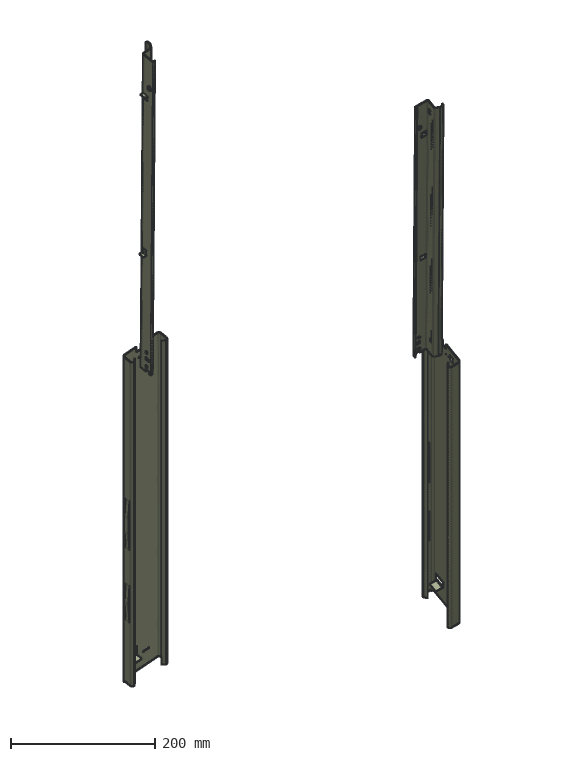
import cadquery as cq
import math

overall_width = 49.43
overall_depth = 70.8
overall_height = 1315.01
sheet = 1.5

x_min = -overall_width / 2
x_max = overall_width / 2
y_max = overall_depth / 2
y_min = -overall_depth / 2
z_min = -overall_height / 2
z_max = overall_height / 2

web_x = -18.3
lip_x = 1.6
channel_top_z = 22.0
corner_tab_height = 2.5
channel_bottom_z = z_min + corner_tab_height
channel_height = channel_top_z - channel_bottom_z
bump_height = 2.0
channel_y_min = y_min + bump_height
bend_radius = 4.0
lip_bend_depth = 5.0
lip_tip_x = -2.5
lip_tip_depth = 10.0

bump_x = -8.0
bump_width = 8.0
bumps = [(-373.0, -271.0, 34.0), (-524.0, -448.0, 4.0)]

hook_thickness = 3.0
hook_drop = 10.0
upper_hook_y = 7.0
upper_hook_width = 21.0
upper_hook_z = -3.0
lower_hook_y = 11.0
lower_hook_width = 12.0
lower_hook_z = -624.0
hook_window_y = 13.5
hook_window_width = 8.0
hook_window_height = 10.0

stop_y = -15.5
stop_width = 15.0
stop_window_width = 18.0
stop_reach = 11.0
stop_z = -619.5
stop_window_height = 15.0

end_notch_y = -4.0
end_notch_width = 8.0
end_notch_depth = 11.0

rail_bottom_z = 6.0
rail_height = z_max - rail_bottom_z
lean_angle = math.degrees(math.atan(0.0065))
race_y = 6.1
race_x = -10.3
race_lip = 4.0
race_slope_x = -3.5
rail_web_x = 4.0
slope_end_y = 1.8
flange_y = -15.1
flange_lip = 4.5
rail_bend_radius = 2.0

ridge_y = -4.5
ridge_width = 3.5
ridge_height = 0.8
ridge_bottom_z = 35.0
ridge_top_z = 617.0

round_hole_x = 17.5
round_hole_z = 596.5
round_hole_diameter = 8.0
rail_tab_x = 9.5
rail_tab_width = 9.0
rail_tab_reach = 5.0
rail_window_height = 9.0
upper_tab_z = 577.0
lower_tab_z = 247.0
screw_hole_x = 15.5
screw_hole_diameter = 4.5
screw_hole_heights = (46.0, 17.0)
cross_slot_x = 17.5
cross_slot_z = 33.0
cross_slot_width = 8.0
cross_slot_height = 4.5
flange_notch_width = 6.0
flange_notch_depth = 4.0
web_slot_y = -10.0
web_slot_width = 5.0
web_slot_height = 9.0
web_slot_z = 632.0


def block(x0, x1, y0, y1, z0, z1):
    """Box between two limits along each axis."""
    return cq.Workplane("XY").box(x1 - x0, y1 - y0, z1 - z0, centered=False).translate((x0, y0, z0))


def centred_block(x0, x1, y_mid, width, z0, z1):
    """Box centred on y_mid."""
    return block(x0, x1, y_mid - width / 2, y_mid + width / 2, z0, z1)


def offset_points(points, distance):
    """Open polyline moved sideways by a distance, with mitred corners."""
    directions = []
    for (xa, ya), (xb, yb) in zip(points, points[1:]):
        length = math.hypot(xb - xa, yb - ya)
        directions.append(((xb - xa) / length, (yb - ya) / length))
    before = [directions[0]] + directions
    after = directions + [directions[-1]]
    moved = []
    for (x, y), (ux, uy), (vx, vy) in zip(points, before, after):
        reach = distance / (1 + ux * vx + uy * vy)
        moved.append((x - (uy + vy) * reach, y + (ux + vx) * reach))
    return moved


def bent_sheet(outer_points, bends, bottom_z, height):
    """Sheet of constant thickness left of a polyline; bends gives (corner number, outer side radius)."""
    inner_points = offset_points(outer_points, sheet)
    outline = outer_points + inner_points[::-1]
    body = cq.Workplane("XY", origin=(0, 0, bottom_z)).polyline(outline).close().extrude(height)
    mid_z = bottom_z + height / 2
    for corner, outer_radius, inner_radius in bends:
        for (x, y), radius in ((outer_points[corner], outer_radius), (inner_points[corner], inner_radius)):
            edge = cq.selectors.NearestToPointSelector((x, y, mid_z))
            body = body.edges("|Z").edges(edge).fillet(radius)
    return body


def flange_bump(bottom_z, top_z, flat):
    """Strip of the -Y flange pushed outward as a bridge, with a ramp at each end."""
    ramp = (top_z - bottom_z - flat) / 2
    profile = [
        (channel_y_min + sheet, bottom_z),
        (channel_y_min, bottom_z),
        (y_min, bottom_z + ramp),
        (y_min, top_z - ramp),
        (channel_y_min, top_z),
        (channel_y_min + sheet, top_z),
        (y_min + sheet, top_z - ramp),
        (y_min + sheet, bottom_z + ramp),
    ]
    plane = cq.Workplane("YZ", origin=(bump_x - bump_width / 2, 0, 0))
    return plane.polyline(profile).close().extrude(bump_width)


def mounting_hook(y_mid, width, top_z):
    """Arm leaving the web toward -X, with a lip turned down at its end."""
    arm = centred_block(x_min, web_x, y_mid, width, top_z - hook_thickness, top_z)
    lip = centred_block(x_min, x_min + hook_thickness, y_mid, width, top_z - hook_drop, top_z)
    return arm.union(lip)


def make_cabinet_rail():
    outline = [
        (lip_tip_x, y_max - lip_tip_depth),
        (lip_x, y_max - lip_bend_depth),
        (lip_x, y_max),
        (web_x, y_max),
        (web_x, channel_y_min),
        (lip_x, channel_y_min),
        (lip_x, channel_y_min + lip_bend_depth),
        (lip_tip_x, channel_y_min + lip_tip_depth),
    ]
    bends = [(corner, bend_radius, bend_radius - sheet) for corner in (2, 3, 4, 5)]
    rail = bent_sheet(outline, bends, channel_bottom_z, channel_height)

    tab_blank = block(web_x, web_x + bend_radius, channel_y_min, channel_y_min + bend_radius, z_min,
                      channel_bottom_z)
    bend_run = bent_sheet(outline, bends, z_min, corner_tab_height)
    rail = rail.union(tab_blank.intersect(bend_run))

    for bottom_z, top_z, flat in bumps:
        strip = block(bump_x - bump_width / 2, bump_x + bump_width / 2, channel_y_min, channel_y_min + sheet,
                      bottom_z, top_z)
        rail = rail.cut(strip).union(flange_bump(bottom_z, top_z, flat))

    web_front = web_x + sheet
    rail = rail.union(mounting_hook(upper_hook_y, upper_hook_width, upper_hook_z))
    rail = rail.union(mounting_hook(lower_hook_y, lower_hook_width, lower_hook_z))
    rail = rail.cut(centred_block(web_x, web_front, hook_window_y, hook_window_width, upper_hook_z,
                                  upper_hook_z + hook_window_height))

    rail = rail.cut(centred_block(web_x, web_front, stop_y, stop_window_width, stop_z,
                                  stop_z + stop_window_height))
    stop = centred_block(web_x, web_front + stop_reach, stop_y, stop_width, stop_z - sheet, stop_z)
    rail = rail.union(stop)
    return rail.cut(centred_block(web_x, web_front, end_notch_y, end_notch_width,
                                  channel_top_z - end_notch_depth, channel_top_z))


def flange_cut(x_mid, width, z0, z1):
    """Rectangular cutter through the drawer rail's flange."""
    return block(x_mid - width / 2, x_mid + width / 2, flange_y, flange_y + sheet, z0, z1)


def flange_hole(x, z, diameter):
    """Round cutter through the drawer rail's flange."""
    return cq.Workplane("XZ", origin=(x, flange_y + sheet, z)).circle(diameter / 2).extrude(sheet)


def flange_tab(bottom_z):
    """Tab standing out of the drawer rail's flange toward -Y."""
    return block(rail_tab_x - rail_tab_width / 2, rail_tab_x + rail_tab_width / 2,
                 flange_y - rail_tab_reach, flange_y + sheet, bottom_z, bottom_z + sheet)


def make_drawer_rail():
    flange_back = flange_y + sheet
    outline = [
        (x_max - sheet, flange_y + flange_lip),
        (x_max - sheet, flange_back),
        (rail_web_x, flange_back),
        (rail_web_x, slope_end_y),
        (race_slope_x, race_y),
        (race_x, race_y),
        (race_x, race_y - race_lip),
    ]
    inside_radius = rail_bend_radius - sheet
    bends = [(2, inside_radius, rail_bend_radius)]
    bends += [(corner, rail_bend_radius, inside_radius) for corner in (3, 5)]
    rail = bent_sheet(outline, bends, rail_bottom_z, rail_height)

    web_back = rail_web_x - sheet
    ridge = centred_block(web_back - ridge_height, web_back, ridge_y, ridge_width,
                          ridge_bottom_z, ridge_top_z)
    rail = rail.union(ridge)

    rail = rail.cut(flange_cut(rail_tab_x, rail_tab_width, upper_tab_z - rail_window_height, upper_tab_z))
    rail = rail.union(flange_tab(upper_tab_z))
    rail = rail.cut(flange_cut(rail_tab_x, rail_tab_width, lower_tab_z, lower_tab_z + rail_window_height))
    rail = rail.union(flange_tab(lower_tab_z - sheet))

    rail = rail.cut(flange_hole(round_hole_x, round_hole_z, round_hole_diameter))
    for z in screw_hole_heights:
        rail = rail.cut(flange_hole(screw_hole_x, z, screw_hole_diameter))
    rail = rail.cut(flange_cut(cross_slot_x, cross_slot_width, cross_slot_z - cross_slot_height / 2,
                               cross_slot_z + cross_slot_height / 2))
    rail = rail.cut(flange_cut(round_hole_x, flange_notch_width, rail_bottom_z,
                               rail_bottom_z + flange_notch_depth))
    rail = rail.cut(centred_block(web_back, rail_web_x, web_slot_y, web_slot_width,
                                  web_slot_z - web_slot_height / 2, web_slot_z + web_slot_height / 2))
    return rail.rotate((0, flange_y, z_max), (1, flange_y, z_max), -lean_angle)


cabinet_rail = make_cabinet_rail()
drawer_rail = make_drawer_rail()

result = cq.Compound.makeCompound([cabinet_rail.val(), drawer_rail.val()])